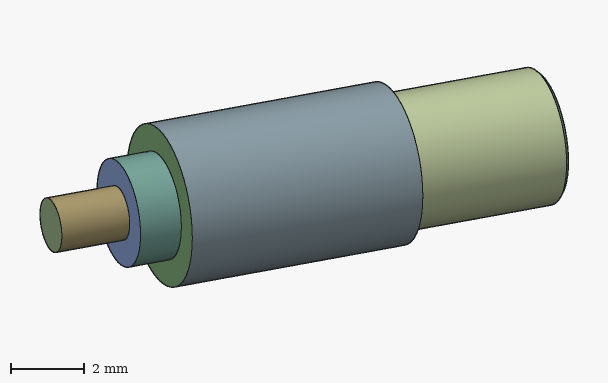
import cadquery as cq

overall_length = 14.51
pin_length = 2.0
collar_length = 1.2
body_length = 6.8
tail_length = overall_length - pin_length - collar_length - body_length

pin_diameter = 1.51
collar_diameter = 3.0
body_diameter = 4.51
tail_diameter = 3.8
tail_chamfer = 0.1


def cylinder_along_y(start_y, length, diameter):
    """Solid cylinder on the Y axis, running from start_y toward +Y."""
    axis_plane = cq.Plane(origin=(0, start_y, 0), xDir=(1, 0, 0), normal=(0, 1, 0))
    return cq.Workplane(axis_plane).circle(diameter / 2).extrude(length)


pin_start = -overall_length / 2
collar_start = pin_start + pin_length
body_start = collar_start + collar_length
tail_start = body_start + body_length

pin = cylinder_along_y(pin_start, pin_length, pin_diameter)
collar = cylinder_along_y(collar_start, collar_length, collar_diameter)
body = cylinder_along_y(body_start, body_length, body_diameter)

tail = cylinder_along_y(tail_start, tail_length, tail_diameter)
tail = tail.faces(">Y").edges().chamfer(tail_chamfer)

result = pin.union(collar).union(body).union(tail)